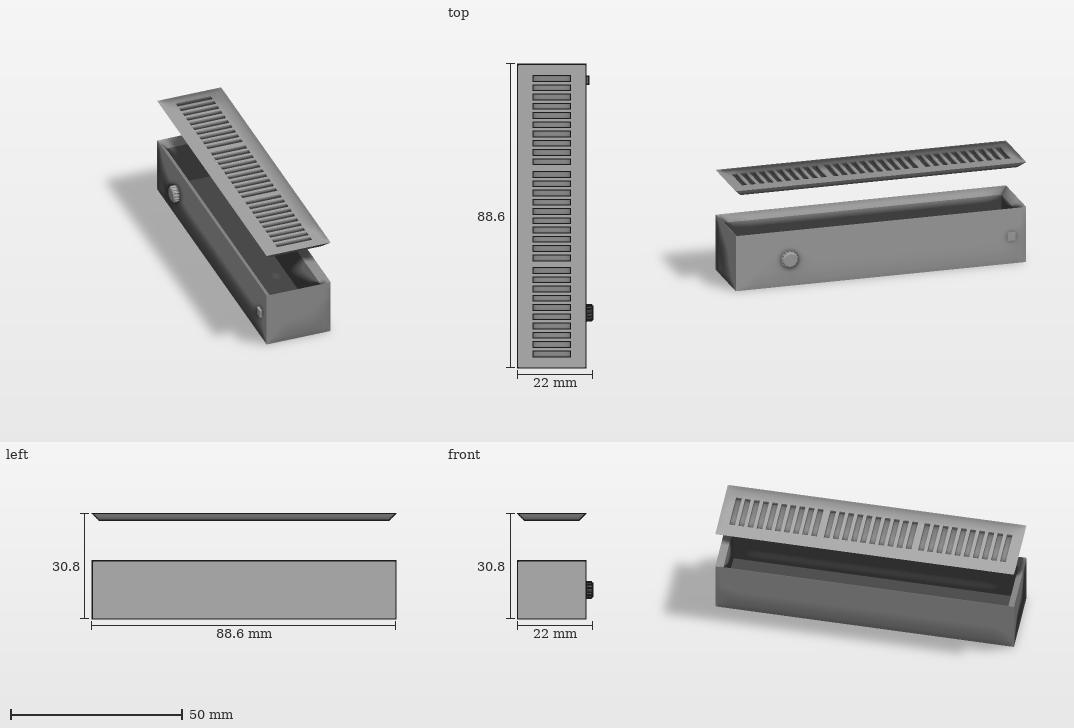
import cadquery as cq
length = 88.6
width = 20.0
overall_height = 30.8

housing_height = 17.0
wall = 2.0
cavity_width = width - 2 * wall
cavity_length = length - 2 * wall

panel_length = 77.05

lid_thickness = wall
slot_length = 11.0
slot_width = 1.7
slot_depth = 1.0
slot_pitch = 2.7
slots_per_group = 10
group_count = 3
group_pitch = 28.0

control_wall_x = width / 2
control_z = housing_height / 2

knob_radius = 2.5
knob_length = 1.95
knob_chamfer = 0.5
knob_y = -28.2
knob_collar = 0.1
groove_count = 14
groove_radius = 0.35

button_size = 2.4
button_length = 0.8
button_y = 39.6


def tapered_slab(top_z):
    """Slab of the lid's outline with 45 degree sides, widest at its top face."""
    return (
        cq.Workplane("XY", origin=(0, 0, top_z))
        .rect(width, length)
        .workplane(offset=-lid_thickness)
        .rect(width - 2 * lid_thickness, length - 2 * lid_thickness)
        .loft(ruled=True)
    )


def make_floor_panel():
    return cq.Workplane("XY").rect(cavity_width, panel_length).extrude(wall)


def make_housing():
    block = cq.Workplane("XY").rect(width, length).extrude(housing_height)
    cavity = (
        cq.Workplane("XY", origin=(0, 0, wall))
        .rect(cavity_width, cavity_length)
        .extrude(housing_height - wall)
    )
    lid_seat = tapered_slab(housing_height)
    return block.cut(cavity).cut(lid_seat).cut(make_floor_panel())


def centred_offsets(count, pitch):
    """Evenly spaced positions with their middle at zero."""
    return [(index - (count - 1) / 2) * pitch for index in range(count)]


def make_lid():
    slot_centres = [
        (0, group_y + slot_y)
        for group_y in centred_offsets(group_count, group_pitch)
        for slot_y in centred_offsets(slots_per_group, slot_pitch)
    ]
    slots = (
        cq.Workplane("XY", origin=(0, 0, overall_height))
        .pushPoints(slot_centres)
        .rect(slot_length, slot_width)
        .extrude(-slot_depth)
    )
    return tapered_slab(overall_height).cut(slots)


def make_knob():
    base = cq.Workplane("YZ", origin=(control_wall_x, knob_y, control_z))
    disc = base.circle(knob_radius).extrude(knob_length).faces(">X").chamfer(knob_chamfer)
    grooves = (
        base.workplane(offset=knob_collar)
        .polarArray(knob_radius, 0, 360, groove_count)
        .circle(groove_radius)
        .extrude(knob_length - knob_collar)
    )
    return disc.cut(grooves)


def make_button():
    return (
        cq.Workplane("YZ", origin=(control_wall_x, button_y, control_z))
        .rect(button_size, button_size)
        .extrude(button_length)
    )


housing = make_housing()
floor_panel = make_floor_panel()
lid = make_lid()
knob = make_knob()
button = make_button()

bodies = [housing, floor_panel, lid, knob, button]
result = cq.Compound.makeCompound([body.solids().val() for body in bodies])